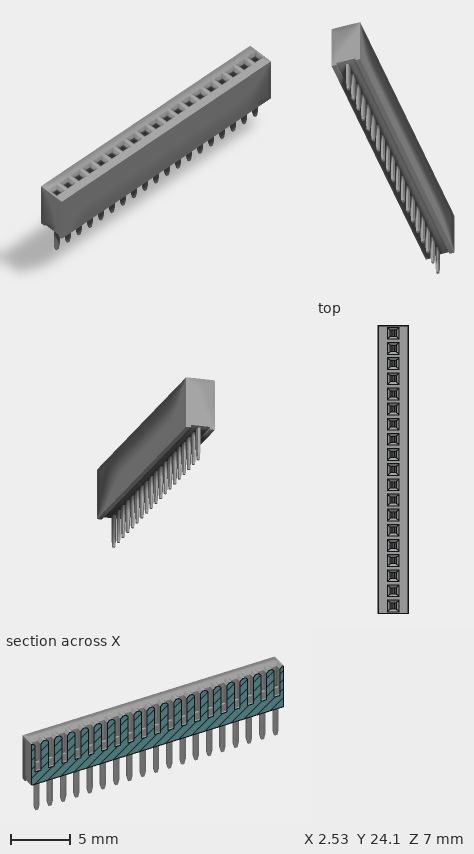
import cadquery as cq

pin_count = 19
strip_length = 24.13
pitch = strip_length / pin_count
body_width = 2.53
overall_height = 7.0

body_height = 4.42
channel_width = 1.7
channel_depth = 0.22

lead_in_size = 1.0
socket_size = 0.5
lead_in_depth = 0.25
socket_depth = 2.9

pin_thickness = 0.2
pin_width = socket_size
tip_width = 0.25
tip_length = 0.48
contact_height = 0.72

body_bottom = overall_height - body_height
socket_floor = overall_height - socket_depth
pin_top = socket_floor + contact_height

pin_places = [(0, (i - (pin_count - 1) / 2) * pitch) for i in range(pin_count)]


def make_housing():
    """Rectangular bar with a shallow channel along its underside."""
    bar = cq.Workplane("XY", origin=(0, 0, body_bottom)).box(
        body_width, strip_length, body_height, centered=(True, True, False)
    )
    channel = cq.Workplane("XY", origin=(0, 0, body_bottom)).box(
        channel_width, strip_length, channel_depth, centered=(True, True, False)
    )
    return bar.cut(channel)


def make_socket():
    """Cutter for one opening: a tapered mouth above a square blind hole."""
    mouth = (
        cq.Workplane("XY", origin=(0, 0, overall_height))
        .rect(lead_in_size, lead_in_size)
        .workplane(offset=-lead_in_depth)
        .rect(socket_size, socket_size)
        .loft(ruled=True)
    )
    hole = cq.Workplane("XY", origin=(0, 0, socket_floor)).box(
        socket_size, socket_size, socket_depth - lead_in_depth, centered=(True, True, False)
    )
    return mouth.union(hole)


def make_pin():
    """Flat pin with a tapered tip, reaching up into its socket."""
    return (
        cq.Workplane("YZ")
        .moveTo(-tip_width / 2, 0)
        .lineTo(tip_width / 2, 0)
        .lineTo(pin_width / 2, tip_length)
        .lineTo(pin_width / 2, pin_top)
        .lineTo(-pin_width / 2, pin_top)
        .lineTo(-pin_width / 2, tip_length)
        .close()
        .extrude(pin_thickness / 2, both=True)
    )


def at_each_place(shape):
    """One copy of the shape at every pin place."""
    solid = shape.val()
    return cq.Workplane("XY").pushPoints(pin_places).eachpoint(lambda place: solid.moved(place))


result = make_housing().cut(at_each_place(make_socket())).union(at_each_place(make_pin()))